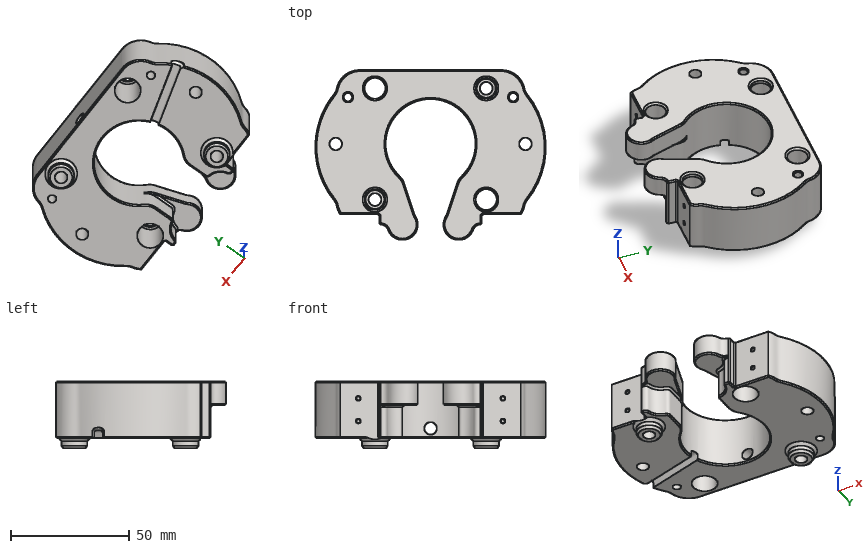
import cadquery as cq
import math

BODY_HEIGHT = 24.0
BODY_WIDTH = 80.0
BODY_BACK_Y = 31.35
BODY_FRONT_Y = -34.15
BODY_CORNER_RADIUS = 10.0
EDGE_CHAMFER = 0.6

SIDE_REACH = 48.84
SIDE_RADIUS = 35.5
SIDE_BLEND_RADIUS = 6.0

STEP_FACE_Y = -29.8
STEP_INNER_X = 21.7

BORE_RADIUS = 19.0
SLOT_REFERENCE_Y = -19.4
SLOT_REFERENCE_HALF_WIDTH = 10.3
SLOT_TAPER_ANGLE = 18.4
SLOT_BLEND_RADIUS = 7.0
LOWER_SLOT_HALF_WIDTH = 11.9

FINGER_THICKNESS = 10.0
FINGER_X = 11.9
FINGER_Y = BODY_FRONT_Y
FINGER_RADIUS = 6.5
FINGER_INNER_BLEND = 4.0
FINGER_ROOT_FLARE = 0.9

RELIEF_RADIUS = 6.7
RELIEF_BLEND_RADIUS = 1.8

BOLT_OFFSET = 23.55
BOLT_HOLE_DIAMETER = 5.3
HEAD_BORE_DIAMETER = 8.8
HEAD_BORE_CHAMFER = 0.8
HEAD_SEAT_Z = 10.0
HEAD_SEAT_CHAMFER = 0.45
SOCKET_DIAMETER = 11.0
SOCKET_ROOF_Z = 21.8

FOOT_DIAMETER = 11.0
FOOT_LENGTH = 4.4
FOOT_FLARE = 1.3
FOOT_TIP_HEIGHT = 1.2
FOOT_TIP_INSET = 0.8

SIDE_HOLE_X = 40.15
SIDE_HOLE_DIAMETER = 5.2
SCREW_HOLE_X = 34.97
SCREW_HOLE_Y = 19.8
SCREW_HOLE_DIAMETER = 3.5
SCREW_HOLE_CHAMFER = 0.5
BACK_HOLE_DIAMETER = 5.2
BACK_HOLE_Z = 4.1
FACE_HOLE_X = 30.6
FACE_HOLE_HEIGHTS = (7.2, 16.8)
FACE_HOLE_DIAMETER = 1.62
FACE_HOLE_MOUTH_DIAMETER = 2.07
FACE_HOLE_DEPTH = 6.0

CHANNEL_MOUTH_Y = 13.75
CHANNEL_WIDTH = 3.7
CHANNEL_TOP_Z = 3.3
CHANNEL_CORNER_RADIUS = 1.1
CHANNEL_MOUTH_CHAMFER = 1.2

BODY_CENTER_Y = (BODY_BACK_Y + BODY_FRONT_Y) / 2
SIDE_CENTER_X = SIDE_REACH - SIDE_RADIUS
FINGER_BASE_Z = BODY_HEIGHT - FINGER_THICKNESS
SIDES = (-1, 1)


def cylinder(x, y, radius, bottom, top):
    return cq.Workplane("XY", origin=(x, y, bottom)).circle(radius).extrude(top - bottom)


def cone(x, y, bottom, bottom_radius, top, top_radius):
    solid = cq.Solid.makeCone(bottom_radius, top_radius, top - bottom, cq.Vector(x, y, bottom))
    return cq.Workplane("XY").add(solid)


def box(x_range, y_range, z_range):
    lows, highs = zip(x_range, y_range, z_range)
    sizes = [high - low for low, high in zip(lows, highs)]
    return cq.Workplane("XY", origin=lows).box(*sizes, centered=False)


def fillet_upright_edges(solid, x, y, radius):
    """Round the upright edge nearest to (x, y) and its mirror image at (-x, y)."""
    middle = solid.val().BoundingBox().center.z
    for side in SIDES:
        solid = solid.edges("|Z").edges(cq.NearestToPointSelector((side * x, y, middle))).fillet(radius)
    return solid


def point_on_circle(center, radius, angle):
    return (center[0] + radius * math.cos(angle), center[1] + radius * math.sin(angle))


def outer_wire(bottom):
    """Rounded block whose corners blend into bulging sides, symmetric left-right and front-back."""
    half_length = BODY_BACK_Y - BODY_CENTER_Y
    corner = (BODY_WIDTH / 2 - BODY_CORNER_RADIUS, half_length - BODY_CORNER_RADIUS)
    corner_reach = BODY_CORNER_RADIUS + SIDE_BLEND_RADIUS
    side_reach = SIDE_RADIUS + SIDE_BLEND_RADIUS
    offset = (corner[0] - SIDE_CENTER_X, corner[1])
    distance = math.hypot(*offset)
    cosine = (side_reach**2 + distance**2 - corner_reach**2) / (2 * side_reach * distance)
    side_angle = math.atan2(offset[1], offset[0]) - math.acos(cosine)
    blend = point_on_circle((SIDE_CENTER_X, 0), side_reach, side_angle)
    corner_angle = math.atan2(blend[1] - corner[1], blend[0] - corner[0])

    corner_start = (corner[0], half_length)
    corner_middle = point_on_circle(corner, BODY_CORNER_RADIUS, (corner_angle + math.pi / 2) / 2)
    corner_end = point_on_circle(corner, BODY_CORNER_RADIUS, corner_angle)
    blend_middle_angle = math.pi + (corner_angle + side_angle) / 2
    blend_middle = point_on_circle(blend, SIDE_BLEND_RADIUS, blend_middle_angle)
    side_start = point_on_circle((SIDE_CENTER_X, 0), SIDE_RADIUS, side_angle)

    def flip(point, x_sign, y_sign):
        return (x_sign * point[0], y_sign * point[1])

    wire = cq.Workplane("XY", origin=(0, BODY_CENTER_Y, bottom)).moveTo(*flip(corner_start, -1, 1))
    for sign in (1, -1):
        wire = (
            wire.lineTo(*flip(corner_start, sign, sign))
            .threePointArc(flip(corner_middle, sign, sign), flip(corner_end, sign, sign))
            .threePointArc(flip(blend_middle, sign, sign), flip(side_start, sign, sign))
            .threePointArc((sign * SIDE_REACH, 0), flip(side_start, sign, -sign))
            .threePointArc(flip(blend_middle, sign, -sign), flip(corner_end, sign, -sign))
            .threePointArc(flip(corner_middle, sign, -sign), flip(corner_start, sign, -sign))
        )
    return wire.close()


def outer_prism(bottom, top):
    """Block with bulging sides, stepped front corners and the round bore."""
    height = top - bottom
    prism = outer_wire(bottom).extrude(height)
    for side in SIDES:
        step = (
            cq.Workplane("XY", origin=(0, 0, bottom))
            .moveTo(side * SIDE_REACH, STEP_FACE_Y)
            .lineTo(side * (STEP_INNER_X + EDGE_CHAMFER), STEP_FACE_Y)
            .lineTo(side * STEP_INNER_X, STEP_FACE_Y - EDGE_CHAMFER)
            .lineTo(side * STEP_INNER_X, BODY_FRONT_Y + EDGE_CHAMFER)
            .lineTo(side * (STEP_INNER_X - EDGE_CHAMFER), BODY_FRONT_Y)
            .lineTo(side * SIDE_REACH, BODY_FRONT_Y)
            .close()
            .extrude(height)
        )
        prism = prism.cut(step)
    return prism.cut(cylinder(0, 0, BORE_RADIUS, bottom, top))


def slot_half_width(y):
    taper = math.tan(math.radians(SLOT_TAPER_ANGLE))
    return SLOT_REFERENCE_HALF_WIDTH + (y - SLOT_REFERENCE_Y) * taper


def finger_web(side, bottom, top):
    """Hollow curve that runs from the front face corner into the round finger end."""
    web_x = STEP_INNER_X - EDGE_CHAMFER
    span = web_x - FINGER_X
    radius = (span**2 - FINGER_RADIUS**2) / (2 * FINGER_RADIUS)
    touch_y = FINGER_Y - radius * FINGER_RADIUS / (FINGER_RADIUS + radius)
    x_range = sorted((side * FINGER_X, side * web_x))
    web = box(x_range, (touch_y, FINGER_Y), (bottom, top))
    return web.cut(cylinder(side * web_x, FINGER_Y - radius, radius, bottom, top))


def upper_prism(bottom, top):
    """Outline of the upper layer: the slot tapers in between two round fingers."""
    prism = outer_prism(bottom, top)
    taper = math.radians(SLOT_TAPER_ANGLE)
    wall_gap = (FINGER_X - slot_half_width(FINGER_Y)) * math.cos(taper)
    kink_angle = taper + math.acos(wall_gap / FINGER_RADIUS)
    kink_x = FINGER_X - FINGER_RADIUS * math.cos(kink_angle)
    kink_y = FINGER_Y + FINGER_RADIUS * math.sin(kink_angle)
    right_wall = [(slot_half_width(0), 0), (kink_x, kink_y), (FINGER_X, FINGER_Y)]
    left_wall = [(-x, y) for x, y in reversed(right_wall)]
    slot = cq.Workplane("XY", origin=(0, 0, bottom)).polyline(right_wall + left_wall).close()
    prism = prism.cut(slot.extrude(top - bottom))
    for side in SIDES:
        prism = prism.union(cylinder(side * FINGER_X, FINGER_Y, FINGER_RADIUS, bottom, top))
        prism = prism.union(finger_web(side, bottom, top))
    prism = fillet_upright_edges(prism, kink_x, kink_y, FINGER_INNER_BLEND)

    axis_to_wall = slot_half_width(0) * math.cos(taper)
    mouth_angle = taper + math.acos(axis_to_wall / BORE_RADIUS)
    mouth_x = BORE_RADIUS * math.cos(mouth_angle)
    mouth_y = -BORE_RADIUS * math.sin(mouth_angle)
    return fillet_upright_edges(prism, mouth_x, mouth_y, SLOT_BLEND_RADIUS)


def lower_prism(bottom, top):
    """Outline of the lower layer: a straight slot with a round relief under each finger."""
    prism = outer_prism(bottom, top)
    slot_x = (-LOWER_SLOT_HALF_WIDTH, LOWER_SLOT_HALF_WIDTH)
    prism = prism.cut(box(slot_x, (BODY_FRONT_Y, 0), (bottom, top)))
    for side in SIDES:
        prism = prism.cut(cylinder(side * FINGER_X, FINGER_Y, RELIEF_RADIUS, bottom, top))
    prism = fillet_upright_edges(prism, FINGER_X + RELIEF_RADIUS, FINGER_Y, RELIEF_BLEND_RADIUS)
    prism = fillet_upright_edges(prism, FINGER_X, FINGER_Y + RELIEF_RADIUS, RELIEF_BLEND_RADIUS)
    mouth_y = -math.sqrt(BORE_RADIUS**2 - LOWER_SLOT_HALF_WIDTH**2)
    return fillet_upright_edges(prism, LOWER_SLOT_HALF_WIDTH, mouth_y, SLOT_BLEND_RADIUS)


def finger_root():
    """Flare of the lower layer's walls where they meet the underside of the fingers."""
    bottom = FINGER_BASE_Z - FINGER_ROOT_FLARE
    outline = lower_prism(bottom, FINGER_BASE_Z).faces("<Z").wires().toPending()
    flare = outline.extrude(FINGER_ROOT_FLARE, combine=False, taper=-45)
    return flare.intersect(upper_prism(0, BODY_HEIGHT))


def make_body():
    upper = upper_prism(FINGER_BASE_Z, BODY_HEIGHT).faces("<Z or >Z").edges().chamfer(EDGE_CHAMFER)
    lower = lower_prism(0, BODY_HEIGHT - 2 * EDGE_CHAMFER).faces("<Z").edges().chamfer(EDGE_CHAMFER)
    return upper.union(lower).union(finger_root())


def add_foot(body, x, y):
    """Round foot with a flared root that stops flush with the step face."""
    radius = FOOT_DIAMETER / 2
    tip_top = FOOT_TIP_HEIGHT - FOOT_LENGTH
    root_top = EDGE_CHAMFER
    root_radius = radius + FOOT_FLARE + EDGE_CHAMFER
    root = cone(x, y, -FOOT_FLARE, radius, root_top, root_radius)
    root = root.intersect(box((-SIDE_REACH, SIDE_REACH), (STEP_FACE_Y, BODY_BACK_Y), (-FOOT_FLARE, root_top)))
    stem = cylinder(x, y, radius, tip_top, root_top)
    tip = cone(x, y, -FOOT_LENGTH, radius - FOOT_TIP_INSET, tip_top, radius)
    return body.union(root).union(stem).union(tip)


def head_bore_mouth(x, y):
    """Chamfered mouth of a bolt head bore at the top face."""
    radius = HEAD_BORE_DIAMETER / 2
    return cone(x, y, BODY_HEIGHT - HEAD_BORE_CHAMFER, radius, BODY_HEIGHT, radius + HEAD_BORE_CHAMFER)


def cut_counterbored_hole(body, x, y):
    radius = HEAD_BORE_DIAMETER / 2
    wall_bottom = HEAD_SEAT_Z + HEAD_SEAT_CHAMFER
    hole = cylinder(x, y, BOLT_HOLE_DIAMETER / 2, -FOOT_LENGTH, BODY_HEIGHT)
    seat = cone(x, y, HEAD_SEAT_Z, radius - HEAD_SEAT_CHAMFER, wall_bottom, radius)
    wall = cylinder(x, y, radius, wall_bottom, BODY_HEIGHT)
    return body.cut(hole).cut(seat).cut(wall).cut(head_bore_mouth(x, y))


def cut_socket_hole(body, x, y):
    """Clear hole that widens below its top lip."""
    hole = cylinder(x, y, HEAD_BORE_DIAMETER / 2, 0, BODY_HEIGHT)
    socket = cylinder(x, y, SOCKET_DIAMETER / 2, 0, SOCKET_ROOF_Z)
    return body.cut(hole).cut(socket).cut(head_bore_mouth(x, y))


def cut_plate_holes(body):
    """Plain and chamfered holes through the full height on both sides."""
    screw_radius = SCREW_HOLE_DIAMETER / 2
    mouth_bottom = BODY_HEIGHT - SCREW_HOLE_CHAMFER
    mouth_radius = screw_radius + SCREW_HOLE_CHAMFER
    for side in SIDES:
        screw_x = side * SCREW_HOLE_X
        body = body.cut(cylinder(side * SIDE_HOLE_X, 0, SIDE_HOLE_DIAMETER / 2, 0, BODY_HEIGHT))
        body = body.cut(cylinder(screw_x, SCREW_HOLE_Y, screw_radius, 0, BODY_HEIGHT))
        body = body.cut(cone(screw_x, SCREW_HOLE_Y, mouth_bottom, screw_radius, BODY_HEIGHT, mouth_radius))
    return body


def cut_back_hole(body):
    """Hole from the bore straight out through the back wall."""
    face = cq.Workplane("XZ", origin=(0, BODY_BACK_Y, BACK_HOLE_Z))
    return body.cut(face.circle(BACK_HOLE_DIAMETER / 2).extrude(BODY_BACK_Y))


def cut_face_holes(body):
    """Two small countersunk blind holes in each step face."""
    inward = cq.Vector(0, 1, 0)
    radius = FACE_HOLE_DIAMETER / 2
    mouth_radius = FACE_HOLE_MOUTH_DIAMETER / 2
    for side in SIDES:
        for height in FACE_HOLE_HEIGHTS:
            start = cq.Vector(side * FACE_HOLE_X, STEP_FACE_Y, height)
            body = body.cut(cq.Workplane(cq.Solid.makeCylinder(radius, FACE_HOLE_DEPTH, start, inward)))
            mouth = cq.Solid.makeCone(mouth_radius, radius, mouth_radius - radius, start, inward)
            body = body.cut(cq.Workplane(mouth))
    return body


def channel_prism(plane, grow, length, taper=0):
    """Channel section with rounded top corners, widened by `grow`, open through the bottom face."""
    half_width = CHANNEL_WIDTH / 2 + grow
    top = CHANNEL_TOP_Z + grow
    radius = CHANNEL_CORNER_RADIUS + grow
    return (
        cq.Workplane(plane)
        .moveTo(-half_width, -CHANNEL_TOP_Z)
        .lineTo(-half_width, top - radius)
        .radiusArc((radius - half_width, top), radius)
        .lineTo(half_width - radius, top)
        .radiusArc((half_width, top - radius), radius)
        .lineTo(half_width, -CHANNEL_TOP_Z)
        .close()
        .extrude(length, taper=taper)
    )


def cut_channel(body):
    """Arched channel that runs from the -X side straight toward the bore axis and opens into the bore."""
    mouth_dy = CHANNEL_MOUTH_Y - BODY_CENTER_Y
    mouth_x = -SIDE_CENTER_X - math.sqrt(SIDE_RADIUS**2 - mouth_dy**2)
    inward = cq.Vector(-mouth_x, -CHANNEL_MOUTH_Y, 0)
    across = inward.cross(cq.Vector(0, 0, 1)).multiply(-1)
    plane = cq.Plane(origin=(mouth_x, CHANNEL_MOUTH_Y, 0), xDir=across, normal=inward)
    approach = channel_prism(plane, CHANNEL_MOUTH_CHAMFER, -CHANNEL_MOUTH_CHAMFER)
    mouth = channel_prism(plane, CHANNEL_MOUTH_CHAMFER, CHANNEL_MOUTH_CHAMFER, taper=45)
    passage = channel_prism(plane, 0, inward.Length)
    return body.cut(approach).cut(mouth).cut(passage)


def make_part():
    part = make_body()
    for side in SIDES:
        part = add_foot(part, side * BOLT_OFFSET, side * BOLT_OFFSET)
    for side in SIDES:
        part = cut_counterbored_hole(part, side * BOLT_OFFSET, side * BOLT_OFFSET)
        part = cut_socket_hole(part, -side * BOLT_OFFSET, side * BOLT_OFFSET)
    part = cut_plate_holes(part)
    part = cut_back_hole(part)
    part = cut_channel(part)
    return cut_face_holes(part)


result = make_part()